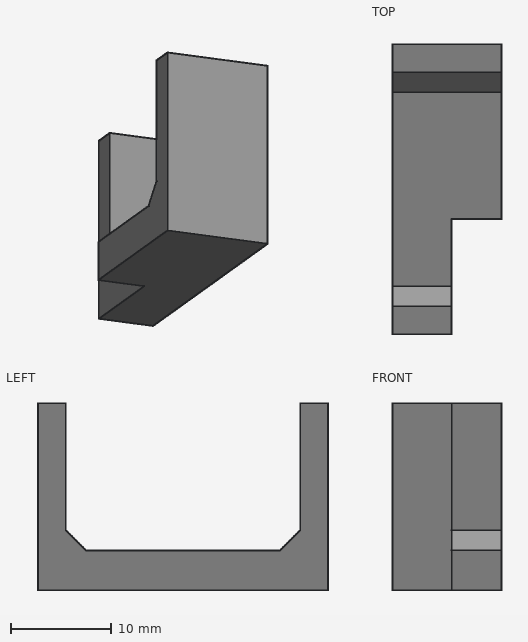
import cadquery as cq

width = 10.9
length = 29.0
height = 18.7

wall_thickness = 2.8
floor_thickness = 4.0
corner_chamfer = 2.0

narrow_width = 5.9
notch_length = 11.5


def u_channel():
    """U section in the YZ plane with chamfered inner corners, extruded along +X."""
    inner_front = wall_thickness
    inner_back = length - wall_thickness
    chamfer_top = floor_thickness + corner_chamfer
    outline = [
        (0, 0),
        (length, 0),
        (length, height),
        (inner_back, height),
        (inner_back, chamfer_top),
        (inner_back - corner_chamfer, floor_thickness),
        (inner_front + corner_chamfer, floor_thickness),
        (inner_front, chamfer_top),
        (inner_front, height),
        (0, height),
    ]
    return cq.Workplane("YZ").polyline(outline).close().extrude(width)


def corner_notch():
    """Full-height block removed from the +X, -Y corner."""
    notch_width = width - narrow_width
    notch = cq.Workplane("XY").box(notch_width, notch_length, height, centered=False)
    return notch.translate((narrow_width, 0, 0))


result = u_channel().cut(corner_notch())